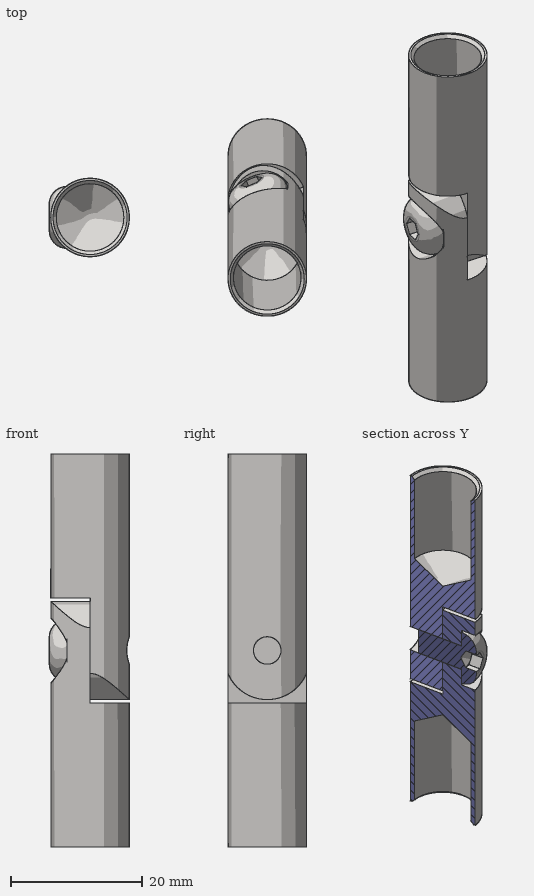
import cadquery as cq
import math


sleeve_radius = 6.0
sleeve_end = 30.0
shoulder_height = 8.0
tongue_gap = 0.5
tongue_reach = shoulder_height - tongue_gap
tongue_tip_radius = 6.5
tongue_tip_center = tongue_reach - tongue_tip_radius

bore_radius = 5.15
bore_depth = 15.0
bore_chamfer = 0.5
drill_half_angle = math.radians(59)

shank_radius = 2.1
shank_length = 8.0
head_radius = 4.75
head_height = 2.75
head_flat_radius = head_radius - head_height
head_protrusion = 0.25
head_top_x = -sleeve_radius - head_protrusion
head_seat_x = head_top_x + head_height
socket_width = 3.0
socket_depth = 2.0
socket_sides = 6
half_side_angle = 180 / socket_sides
counterbore_radius = 5.0


def x_cylinder(radius, start_x, end_x, center_z=0.0):
    """Cylinder along X between two X positions."""
    plane = cq.Workplane("YZ", origin=(start_x, 0, center_z))
    return plane.circle(radius).extrude(end_x - start_x)


def sleeve_rod(start_z, end_z):
    """Solid rod of the sleeve's diameter, turned so that its seam stays clear of the screw hole."""
    rod = cq.Workplane("XY", origin=(0, 0, start_z)).circle(sleeve_radius).extrude(end_z - start_z)
    return rod.rotate((0, 0, 0), (0, 0, 1), 90)


def drill_point_length(radius):
    """Length of the conical tip left by a drill of the given radius."""
    return radius / math.tan(drill_half_angle)


def make_bore():
    """Chamfered bore with a conical floor, opening at the top end."""
    floor_z = sleeve_end - bore_depth
    return (
        cq.Workplane("XZ")
        .moveTo(0, sleeve_end)
        .lineTo(bore_radius + bore_chamfer, sleeve_end)
        .lineTo(bore_radius, sleeve_end - bore_chamfer)
        .lineTo(bore_radius, floor_z)
        .lineTo(0, floor_z - drill_point_length(bore_radius))
        .close()
        .revolve(360, (0, 0, 0), (0, 1, 0))
    )


def make_sleeve():
    """Upper sleeve, with its tongue on the +X side hanging down past the pivot."""
    body = sleeve_rod(shoulder_height, sleeve_end)
    tip_profile = x_cylinder(tongue_tip_radius, 0, sleeve_radius, -tongue_tip_center)
    bar_height = shoulder_height + tongue_tip_center
    bar = cq.Workplane("XY", origin=(0, 0, -tongue_tip_center)).box(
        sleeve_radius, 2 * sleeve_radius, bar_height, centered=(False, True, False)
    )
    rod = sleeve_rod(-tongue_reach, shoulder_height)
    tongue = rod.intersect(bar.union(tip_profile))
    screw_hole = x_cylinder(shank_radius, 0, sleeve_radius)
    return body.union(tongue).cut(make_bore()).cut(screw_hole)


def make_screw():
    """Button head screw with its head on the -X side and a hexagon socket."""
    shank_end_x = head_seat_x + shank_length
    arc_offset = head_height * math.sqrt(0.5)
    screw = (
        cq.Workplane("XY")
        .moveTo(head_top_x, 0)
        .lineTo(head_top_x, head_flat_radius)
        .threePointArc(
            (head_seat_x - arc_offset, head_flat_radius + arc_offset),
            (head_seat_x, head_radius),
        )
        .lineTo(head_seat_x, shank_radius)
        .lineTo(shank_end_x, shank_radius)
        .lineTo(shank_end_x, 0)
        .close()
        .revolve(360, (0, 0, 0), (1, 0, 0))
    )
    socket = (
        cq.Workplane("YZ", origin=(head_top_x, 0, 0))
        .polygon(socket_sides, socket_width, circumscribed=True)
        .extrude(socket_depth)
        .rotate((0, 0, 0), (1, 0, 0), half_side_angle)
    )
    socket_radius = socket_width / 2
    socket_floor_x = head_top_x + socket_depth
    socket_point = (
        cq.Workplane("XY")
        .moveTo(socket_floor_x, 0)
        .lineTo(socket_floor_x, socket_radius)
        .lineTo(socket_floor_x + drill_point_length(socket_radius), 0)
        .close()
        .revolve(360, (0, 0, 0), (1, 0, 0))
    )
    return screw.cut(socket).cut(socket_point)


upper_sleeve = make_sleeve()
counterbore = x_cylinder(counterbore_radius, head_top_x, head_seat_x)
lower_sleeve = make_sleeve().rotate((0, 0, 0), (0, 1, 0), 180).cut(counterbore)
screw = make_screw()

result = cq.Compound.makeCompound(
    [
        upper_sleeve.solids().val(),
        lower_sleeve.solids().val(),
        screw.solids().val(),
    ]
)